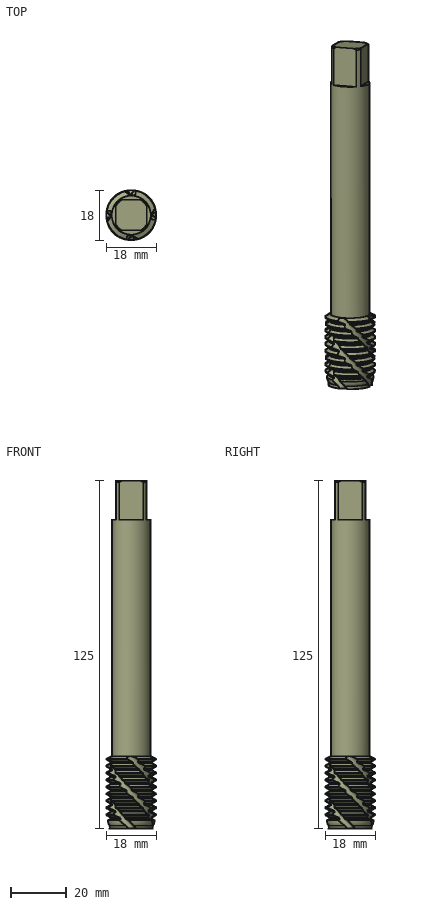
import cadquery as cq
import math

total_length = 125.0
head_length = 26.0
shank_diameter = 14.0
square_width = 11.0
square_length = 14.0
square_end_chamfer = 0.5

thread_diameter = 18.0
thread_pitch = 2.5
thread_depth = 1.5
flank_angle = 30.0
crest_flat = 0.2
top_crest_drop = 1.0

tip_diameter = 15.8
tip_length = 1.1
lead_start_diameter = 16.5
lead_start_z = 1.9
lead_end_z = 5.5

flute_count = 4
flute_radius = 1.9
flute_lead = 50.0
flute_top_angle = -4.0

crest_radius = thread_diameter / 2
root_radius = crest_radius - thread_depth
flank_height = thread_depth * math.tan(math.radians(flank_angle))
root_flat = thread_pitch - crest_flat - 2 * flank_height
top_crest_z = head_length - top_crest_drop
shank_length = total_length - head_length
flute_twist = -360 * head_length / flute_lead


def make_shank():
    """Plain round shank that stands on the head and ends in a driving square."""
    shank = (
        cq.Workplane("XY", origin=(0, 0, head_length))
        .circle(shank_diameter / 2)
        .extrude(shank_length)
        .faces(">Z")
        .chamfer(square_end_chamfer)
    )
    square_waste = (
        cq.Workplane("XY", origin=(0, 0, total_length - square_length))
        .rect(2 * shank_diameter, 2 * shank_diameter)
        .rect(square_width, square_width)
        .extrude(square_length)
    )
    return shank.cut(square_waste)


def make_head_blank():
    """Round blank with a plain tip, a tapered lead and a run-out cone that meets the shank."""
    return (
        cq.Workplane("XZ")
        .lineTo(tip_diameter / 2, 0)
        .lineTo(tip_diameter / 2, tip_length)
        .lineTo(lead_start_diameter / 2, lead_start_z)
        .lineTo(crest_radius, lead_end_z)
        .lineTo(crest_radius, top_crest_z + crest_flat / 2)
        .lineTo(shank_diameter / 2, head_length)
        .lineTo(0, head_length)
        .close()
        .revolve(360, (0, 0), (0, 1))
    )


def make_thread_groove(center_z):
    """Ring with a 60-degree V section and a flat root, one gap between two crests."""
    opening = (thread_pitch - crest_flat) / 2
    outer_radius = crest_radius + thread_depth
    return (
        cq.Workplane("XZ")
        .moveTo(root_radius, center_z - root_flat / 2)
        .lineTo(crest_radius, center_z - opening)
        .lineTo(outer_radius, center_z - opening)
        .lineTo(outer_radius, center_z + opening)
        .lineTo(crest_radius, center_z + opening)
        .lineTo(root_radius, center_z + root_flat / 2)
        .close()
        .revolve(360, (0, 0), (0, 1))
    )


def make_flutes():
    """Left-hand spiral flutes, evenly spaced around the head."""
    return (
        cq.Workplane("XY")
        .transformed(rotate=(0, 0, flute_top_angle - flute_twist))
        .polarArray(crest_radius, 0, 360, flute_count)
        .circle(flute_radius)
        .twistExtrude(head_length, flute_twist)
    )


def make_head():
    """Threaded, fluted cutting head."""
    head = make_head_blank()
    groove_count = math.floor((top_crest_z - lead_start_z) / thread_pitch)
    for index in range(groove_count):
        groove_z = top_crest_z - (index + 0.5) * thread_pitch
        head = head.cut(make_thread_groove(groove_z))
    return head.cut(make_flutes())


shank = make_shank()
head = make_head()

result = cq.Compound.makeCompound([shank.val(), head.val()])